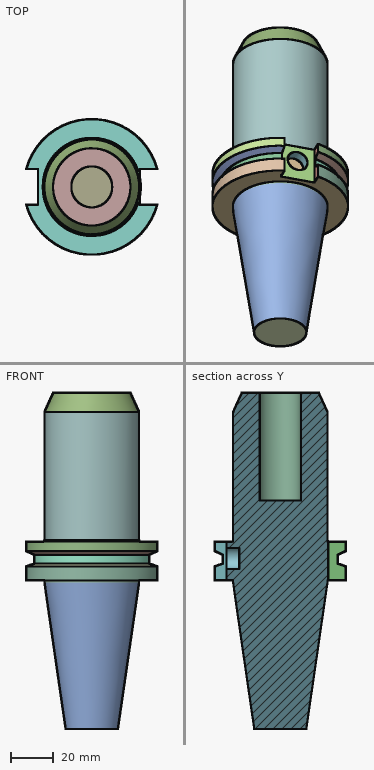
import cadquery as cq

total_height = 157.2
taper_height = 68.4
flange_bottom = 69.5
flange_top = 87.5
nose_height = 9.0

taper_tip_radius = 12.3
body_radius = 22.2
nose_radius = 18.0
flange_radius = 31.7
root_fillet = 0.8

groove_radius = 28.1
groove_lower_edge = 76.0
groove_lower_root = 77.3
groove_upper_root = 81.4
groove_upper_edge = 83.1

slot_width = 16.5
slot_floor_left = 25.1
slot_floor_right = 22.5

bore_diameter = 19.2
bore_depth = 50.3
side_hole_diameter = 9.7
side_hole_depth = 6.0
side_hole_height = 79.7


def revolved_body():
    """Taper, grooved flange, cylindrical body and conical nose in one profile."""
    return (
        cq.Workplane("XZ")
        .moveTo(0, 0)
        .lineTo(taper_tip_radius, 0)
        .lineTo(body_radius, taper_height)
        .lineTo(body_radius, flange_bottom)
        .lineTo(flange_radius, flange_bottom)
        .lineTo(flange_radius, groove_lower_edge)
        .lineTo(groove_radius, groove_lower_root)
        .lineTo(groove_radius, groove_upper_root)
        .lineTo(flange_radius, groove_upper_edge)
        .lineTo(flange_radius, flange_top)
        .lineTo(body_radius + root_fillet, flange_top)
        .radiusArc((body_radius, flange_top + root_fillet), root_fillet)
        .lineTo(body_radius, total_height - nose_height)
        .lineTo(nose_radius, total_height)
        .lineTo(0, total_height)
        .close()
        .revolve(360, (0, 0, 0), (0, 1, 0))
    )


def drive_slot(floor, side):
    """Cutter from the slot floor outward; side is -1 for -X and +1 for +X."""
    length = flange_radius
    height = flange_top - flange_bottom
    return cq.Workplane("XY").box(length, slot_width, height).translate(
        (side * (floor + length / 2), 0, (flange_bottom + flange_top) / 2)
    )


def tool_bore():
    return (
        cq.Workplane("XY", origin=(0, 0, total_height - bore_depth))
        .circle(bore_diameter / 2)
        .extrude(bore_depth)
    )


def side_hole():
    """Blind round hole in the floor of the -X slot."""
    return (
        cq.Workplane("YZ", origin=(-slot_floor_left, 0, side_hole_height))
        .circle(side_hole_diameter / 2)
        .extrude(side_hole_depth)
    )


result = (
    revolved_body()
    .cut(drive_slot(slot_floor_left, -1))
    .cut(drive_slot(slot_floor_right, 1))
    .cut(tool_bore())
    .cut(side_hole())
)